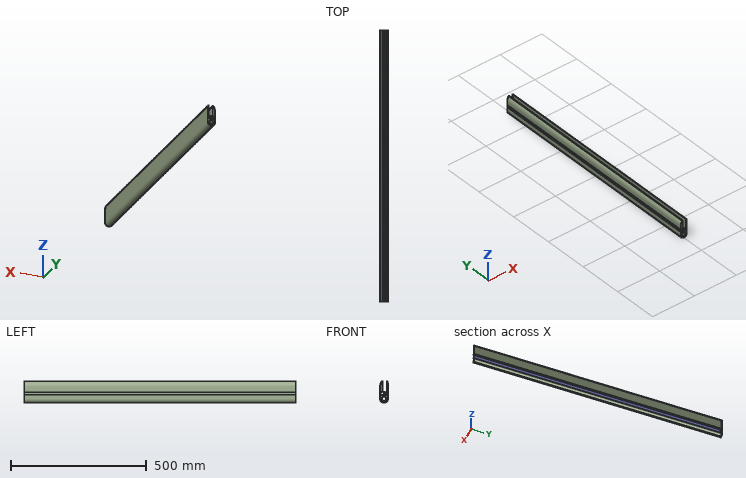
import math
import cadquery as cq

length = 1000.0
width = 30.0
height = 80.0
side_x = width / 2
top_z = height / 2

base_radius = side_x
bore_diameter = 15.0
base_center_z = base_radius - top_z
floor_z = -10.5

thick_jaw_inner_x = -5.0
thick_jaw_crown_radius = 30.0
thick_jaw_crown_start_z = 20.0
thick_jaw_lip_z = 0.5
undercut_x = -11.75
undercut_top_z = -1.0

thin_jaw_inner_x = 10.5
thin_jaw_crown_radius = 30.0
thin_jaw_crown_start_z = 26.0

rib_center_x = 1.0
rib_width = 5.5
rib_peak_z = 0.5
rib_shoulder_z = -0.5


def crown_inset(radius, rise):
    """Inward drift of an arc that leaves a vertical wall tangentially and climbs by rise."""
    return radius - math.sqrt(radius**2 - rise**2)


def crown_points(radius, start_z):
    """Middle and end points of a crown arc, as (inset from the side, z)."""
    rise = top_z - start_z
    middle = (crown_inset(radius, rise / 2), start_z + rise / 2)
    tip = (crown_inset(radius, rise), top_z)
    return middle, tip


def make_body():
    """Cross-section in the XZ plane, extruded along Y and centred on the origin."""
    thick_middle, thick_tip = crown_points(thick_jaw_crown_radius, thick_jaw_crown_start_z)
    thin_middle, thin_tip = crown_points(thin_jaw_crown_radius, thin_jaw_crown_start_z)
    thin_tip_x = side_x - thin_tip[0]
    thin_tip_round = thin_tip_x - thin_jaw_inner_x
    rib_left_x = rib_center_x - rib_width / 2
    rib_right_x = rib_center_x + rib_width / 2
    return (
        cq.Workplane("XZ", origin=(0, length / 2, 0))
        .moveTo(-side_x, base_center_z)
        .threePointArc((0, -top_z), (side_x, base_center_z))
        .lineTo(side_x, thin_jaw_crown_start_z)
        .threePointArc((side_x - thin_middle[0], thin_middle[1]), (thin_tip_x, top_z))
        .radiusArc((thin_jaw_inner_x, top_z - thin_tip_round), -thin_tip_round)
        .lineTo(thin_jaw_inner_x, floor_z)
        .lineTo(rib_right_x, floor_z)
        .lineTo(rib_right_x, rib_shoulder_z)
        .lineTo(rib_center_x, rib_peak_z)
        .lineTo(rib_left_x, rib_shoulder_z)
        .lineTo(rib_left_x, floor_z)
        .lineTo(undercut_x, floor_z)
        .lineTo(undercut_x, undercut_top_z)
        .lineTo(thick_jaw_inner_x, thick_jaw_lip_z)
        .lineTo(thick_jaw_inner_x, top_z)
        .lineTo(thick_tip[0] - side_x, top_z)
        .threePointArc((thick_middle[0] - side_x, thick_middle[1]), (-side_x, thick_jaw_crown_start_z))
        .close()
        .extrude(length)
    )


def make_bore():
    return (
        cq.Workplane("XZ", origin=(0, length / 2, base_center_z))
        .circle(bore_diameter / 2)
        .extrude(length)
    )


result = make_body().cut(make_bore())